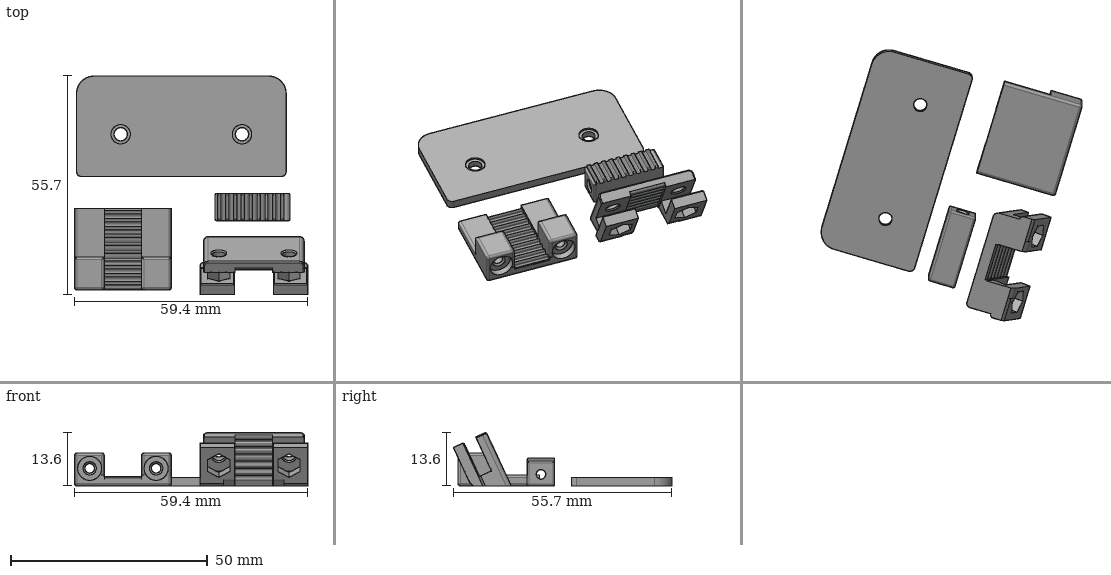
import cadquery as cq
import math

TOOTH_PITCH = 2.0
GROOVE_WIDTH = 1.1
GROOVE_DEPTH = 0.8
GROOVE_CORNER = 0.35
GROOVE_LIP = 0.25
BELT_WIDTH = 9.5
TOOTH_RECESS = 0.5

PLATE_LEFT = 0.5
PLATE_FRONT = 30.0
PLATE_WIDTH = 53.4
PLATE_DEPTH = 25.65
PLATE_THICKNESS = 2.2
PLATE_BACK_RADIUS = 4.5
PLATE_FRONT_RADIUS = 1.35
PLATE_HOLE_SPACING = 30.85
PLATE_HOLE_FROM_FRONT = 10.8
PLATE_SINK_DIAMETER = 4.9
PLATE_SINK_DEPTH = 0.5

SCREW_HOLE_DIAMETER = 2.4
SCREW_RIM_DIAMETER = 3.4
SCREW_RIM_CHAMFER = (SCREW_RIM_DIAMETER - SCREW_HOLE_DIAMETER) / 2

CLEARANCE_DIAMETER = 3.3
CLAMP_RIM_CHAMFER = 0.35

BASE_FRONT = 1.2
BASE_WIDTH = 24.6
BASE_DEPTH = 20.75
BASE_FLOOR = 2.85
BASE_HEIGHT = 8.4
BASE_LUG_WIDTH = (BASE_WIDTH - BELT_WIDTH) / 2
BASE_LUG_DEPTH = 8.4
BASE_FILLET = 0.65
BASE_HOLE_SPACING = 16.9
BASE_HOLE_HEIGHT = 4.5
BASE_SINK_DIAMETER = 6.1
BASE_SINK_DEPTH = 1.8
BASE_FIRST_GROOVE = 0.8
BASE_GROOVES = 11

BLOCK_LEFT = 35.7
BLOCK_FRONT = 18.8
BLOCK_WIDTH = 19.1
BLOCK_DEPTH = 7.0
BLOCK_HEIGHT = 7.2
BLOCK_FILLET = 0.5
BLOCK_HOLE_HEIGHT = 2.95
BLOCK_FIRST_GROOVE = 35.85
BLOCK_GROOVES = 10

CLAMP_TILT = 25.0
CLAMP_WIDTH = 27.4
CLAMP_CENTER = 59.35 - CLAMP_WIDTH / 2
CLAMP_TOP = 8.9
CLAMP_FOOT = -7.1
CLAMP_GAP = 9.85
LUG_WIDTH = (CLAMP_WIDTH - CLAMP_GAP) / 2
LUG_FRONT = 4.15
LUG_BACK = 7.1
JAW_WIDTH = 25.65
JAW_FRONT = 10.45
JAW_BACK = 13.4
JAW_EDGE_RADIUS = 1.2
TOP_CHAMFER = 0.3
BRIDGE_TOP = -0.6
BRIDGE_CORNER = 7.4
CLAMP_HOLE_SPACING = 17.85
CLAMP_HOLE_HEIGHT = 3.8
NUT_FLATS = 5.7
TOE = 5.1
TOE_ANGLE = 51.0
INNER_TOE_ANGLE = 38.8
INNER_TOE_WIDTH = 2.8
CLAMP_FIRST_GROOVE = 9.25
CLAMP_GROOVES = 7


def box(x0, x1, y0, y1, z0, z1):
    """Box between two opposite corners."""
    return cq.Workplane("XY").box(x1 - x0, y1 - y0, z1 - z0, centered=False).translate((x0, y0, z0))


def groove_along_x(x0, x1, y, z):
    """Groove cutter with rounded corners along X, opening upward at height z."""
    r = GROOVE_WIDTH / 2
    lip = GROOVE_LIP
    corner = GROOVE_CORNER
    return (
        cq.Workplane("YZ", origin=(x0, y, z))
        .moveTo(-r - lip, 0)
        .radiusArc((-r, -lip), lip)
        .lineTo(-r, corner - GROOVE_DEPTH)
        .radiusArc((corner - r, -GROOVE_DEPTH), -corner)
        .lineTo(r - corner, -GROOVE_DEPTH)
        .radiusArc((r, corner - GROOVE_DEPTH), -corner)
        .lineTo(r, -lip)
        .radiusArc((r + lip, 0), lip)
        .close()
        .extrude(x1 - x0)
    )


def cover_plate():
    plate = box(
        PLATE_LEFT, PLATE_LEFT + PLATE_WIDTH, PLATE_FRONT, PLATE_FRONT + PLATE_DEPTH, 0, PLATE_THICKNESS
    )
    plate = plate.edges("|Z and >Y").fillet(PLATE_BACK_RADIUS)
    plate = plate.edges("|Z and <Y").fillet(PLATE_FRONT_RADIUS)
    center = PLATE_LEFT + PLATE_WIDTH / 2
    return (
        plate.faces(">Z")
        .workplane(origin=(center, PLATE_FRONT + PLATE_HOLE_FROM_FRONT, 0))
        .pushPoints([(-PLATE_HOLE_SPACING / 2, 0), (PLATE_HOLE_SPACING / 2, 0)])
        .cboreHole(CLEARANCE_DIAMETER, PLATE_SINK_DIAMETER, PLATE_SINK_DEPTH)
    )


def rimmed_hole(length, diameter, chamfer):
    """Hole cutter along +Z from the origin, with a conical rim at its start."""
    hole = cq.Workplane("XY").circle(diameter / 2).extrude(length)
    rim = cq.Workplane("XY").circle(diameter / 2 + chamfer).extrude(chamfer, taper=45)
    return hole.union(rim)


def base():
    back = BASE_FRONT + BASE_DEPTH
    gap_left = BASE_LUG_WIDTH
    gap_right = BASE_WIDTH - BASE_LUG_WIDTH
    center = BASE_WIDTH / 2

    body = box(0, BASE_WIDTH, BASE_FRONT, back, 0, BASE_FLOOR)
    for left in (0, gap_right):
        lug = box(left, left + BASE_LUG_WIDTH, BASE_FRONT, BASE_FRONT + BASE_LUG_DEPTH, 0, BASE_HEIGHT)
        body = body.union(lug)
    slab_top = cq.selectors.BoxSelector(
        (-0.6, BASE_FRONT + BASE_LUG_DEPTH, BASE_FLOOR - 0.6), (BASE_WIDTH + 0.6, back + 0.6, BASE_FLOOR + 0.6)
    )
    lug_tops = body.faces(">Z").edges()
    front_corners = body.edges("|Z and <Y")
    underside = body.faces("<Z").edges("not(>Y)")
    slab_sides = body.edges("|Y").edges(slab_top).edges("<X or >X")
    body = lug_tops.add(front_corners).add(underside).add(slab_sides).fillet(BASE_FILLET)

    band_top = BASE_FLOOR - TOOTH_RECESS
    body = body.cut(box(gap_left, gap_right, BASE_FRONT, back, band_top, BASE_HEIGHT))
    for i in range(BASE_GROOVES):
        y = BASE_FRONT + BASE_FIRST_GROOVE + i * TOOTH_PITCH
        body = body.cut(groove_along_x(gap_left, gap_right, y, band_top))

    for side in (-1, 1):
        x = center + side * BASE_HOLE_SPACING / 2
        sink = (
            cq.Workplane("XZ", origin=(x, BASE_FRONT, BASE_HOLE_HEIGHT))
            .circle(BASE_SINK_DIAMETER / 2)
            .extrude(-BASE_SINK_DEPTH)
        )
        hole = (
            rimmed_hole(BASE_LUG_DEPTH, SCREW_HOLE_DIAMETER, SCREW_RIM_CHAMFER)
            .rotate((0, 0, 0), (1, 0, 0), -90)
            .translate((x, BASE_FRONT + BASE_SINK_DEPTH, BASE_HOLE_HEIGHT))
        )
        body = body.cut(sink).cut(hole)
    return body


def tensioner_block():
    shoulder = BLOCK_HEIGHT - GROOVE_DEPTH
    block = box(
        BLOCK_LEFT, BLOCK_LEFT + BLOCK_WIDTH, BLOCK_FRONT, BLOCK_FRONT + BLOCK_DEPTH, 0, shoulder
    )
    end_tops = block.faces(">Z").edges("|Y")
    block = end_tops.add(block.edges("|Z")).add(block.faces("<Z").edges()).fillet(BLOCK_FILLET)

    last_groove = BLOCK_FIRST_GROOVE + (BLOCK_GROOVES - 1) * TOOTH_PITCH
    teeth = box(
        BLOCK_FIRST_GROOVE + GROOVE_WIDTH / 2, last_groove - GROOVE_WIDTH / 2,
        BLOCK_FRONT, BLOCK_FRONT + BLOCK_DEPTH,
        shoulder, BLOCK_HEIGHT,
    )
    teeth = teeth.edges("|X and >Z").fillet(BLOCK_FILLET)
    block = block.union(teeth)
    for i in range(BLOCK_GROOVES):
        groove = (
            groove_along_x(0, BLOCK_DEPTH, 0, 0)
            .rotate((0, 0, 0), (0, 0, 1), 90)
            .translate((BLOCK_FIRST_GROOVE + i * TOOTH_PITCH, BLOCK_FRONT, BLOCK_HEIGHT))
        )
        block = block.cut(groove)

    hole = (
        rimmed_hole(BLOCK_WIDTH, SCREW_HOLE_DIAMETER, SCREW_RIM_CHAMFER)
        .rotate((0, 0, 0), (0, 1, 0), 90)
        .translate((BLOCK_LEFT, BLOCK_FRONT + BLOCK_DEPTH / 2, BLOCK_HOLE_HEIGHT))
    )
    return block.cut(hole)


def toe_cut(x0, x1, angle):
    """Cutter that trims the lug foot along a slope rising forward from the toe line."""
    reach = 11.85
    rise = reach / math.tan(math.radians(angle))
    return (
        cq.Workplane("YZ", origin=(x0, 0, 0))
        .polyline([(TOE, 0), (TOE - reach, rise), (TOE - reach, 0)])
        .close()
        .extrude(x1 - x0)
    )


def clamp():
    left = CLAMP_CENTER - CLAMP_WIDTH / 2
    right = CLAMP_CENTER + CLAMP_WIDTH / 2
    gap_left = CLAMP_CENTER - CLAMP_GAP / 2
    gap_right = CLAMP_CENTER + CLAMP_GAP / 2
    jaw_left = CLAMP_CENTER - JAW_WIDTH / 2
    jaw_right = CLAMP_CENTER + JAW_WIDTH / 2
    overhang = (CLAMP_WIDTH - JAW_WIDTH) / 2

    jaw = box(jaw_left, jaw_right, JAW_FRONT, JAW_BACK, CLAMP_FOOT, CLAMP_TOP)
    jaw = jaw.edges("|Z and >Y").fillet(JAW_EDGE_RADIUS)
    jaw = jaw.faces(">Z").edges("not(<Y)").chamfer(TOP_CHAMFER)
    band = JAW_FRONT + TOOTH_RECESS
    band_left = CLAMP_CENTER - BELT_WIDTH / 2
    band_right = CLAMP_CENTER + BELT_WIDTH / 2
    jaw = jaw.cut(box(band_left, band_right, 0, band, CLAMP_FOOT, CLAMP_TOP))
    for i in range(CLAMP_GROOVES):
        groove = (
            groove_along_x(band_left, band_right, 0, 0)
            .rotate((0, 0, 0), (1, 0, 0), 90)
            .translate((0, band, CLAMP_FIRST_GROOVE - i * TOOTH_PITCH))
        )
        jaw = jaw.cut(groove)

    body = jaw
    for x in (left, gap_right):
        lug = box(x, x + LUG_WIDTH, LUG_FRONT, LUG_BACK, CLAMP_FOOT, CLAMP_TOP)
        lug = lug.faces(">Y").edges("not(<Z)").chamfer(TOP_CHAMFER)
        wide = box(x, x + LUG_WIDTH, LUG_FRONT, BRIDGE_CORNER, CLAMP_FOOT, BRIDGE_TOP)
        outer = "<X" if x == left else ">X"
        wide = wide.edges("|Z and >Y").edges(outer).fillet(overhang)
        bridge_left = max(x, jaw_left)
        bridge_right = min(x + LUG_WIDTH, jaw_right)
        bridge = box(bridge_left, bridge_right, LUG_FRONT, JAW_FRONT, CLAMP_FOOT, BRIDGE_TOP)
        body = body.union(lug).union(wide).union(bridge)

    for side in (-1, 1):
        x = CLAMP_CENTER + side * CLAMP_HOLE_SPACING / 2
        nut = (
            cq.Workplane("XZ", origin=(x, LUG_FRONT, CLAMP_HOLE_HEIGHT))
            .polygon(6, NUT_FLATS / math.cos(math.pi / 6))
            .extrude(LUG_FRONT - LUG_BACK)
            .rotate((x, 0, CLAMP_HOLE_HEIGHT), (x, 1, CLAMP_HOLE_HEIGHT), 30)
        )
        half_hole = rimmed_hole((JAW_BACK - JAW_FRONT) / 2, CLEARANCE_DIAMETER, CLAMP_RIM_CHAMFER)
        front_half = (
            half_hole.rotate((0, 0, 0), (1, 0, 0), -90).translate((x, JAW_FRONT, CLAMP_HOLE_HEIGHT))
        )
        back_half = (
            half_hole.rotate((0, 0, 0), (1, 0, 0), 90).translate((x, JAW_BACK, CLAMP_HOLE_HEIGHT))
        )
        body = body.cut(nut).cut(front_half).cut(back_half)

    body = body.rotate((0, 0, 0), (1, 0, 0), CLAMP_TILT)
    body = body.cut(box(left - 0.6, right + 0.6, -5.95, 23.75, -23.75, 0))
    body = body.cut(toe_cut(left, right, TOE_ANGLE))
    body = body.cut(toe_cut(gap_left - INNER_TOE_WIDTH, gap_left, INNER_TOE_ANGLE))
    body = body.cut(toe_cut(gap_right, gap_right + INNER_TOE_WIDTH, INNER_TOE_ANGLE))
    return body


result = cq.Compound.makeCompound(
    [cover_plate().val(), base().val(), tensioner_block().val(), clamp().val()]
)